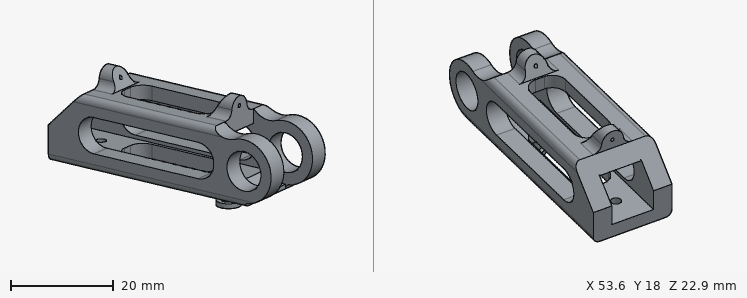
import cadquery as cq
import math

WIDTH = 18.0
HEIGHT = 15.0
MID_HEIGHT = HEIGHT / 2
EDGE_RADIUS = 1.5
BORE_WIDTH = 9.55
BORE_HEIGHT = 9.0
NOSE_CHAMFER = HEIGHT / 2
TOP_END_X = 39.45

LENGTH = 53.55
LUG_RADIUS = 6.55
LUG_X = LENGTH - LUG_RADIUS
LUG_HOLE_DIAMETER = 8.15
NECK_RADIUS = 5.0
HEEL_RADIUS = 1.0

SIDE_SLOT_LENGTH = 32.5
SIDE_SLOT_HEIGHT = 7.5
WINDOW_X = 23.5
TOP_WINDOW_LENGTH = 21.95
TOP_WINDOW_WIDTH = 8.0
TOP_WINDOW_RADIUS = 3.0

FLOOR_HOLE_DIAMETER = 2.1
FLOOR_HOLE_X = 6.2

SIGHT_HEIGHT = 4.0
SIGHT_HEAD_RADIUS = 5.0 / 2
SIGHT_FOOT_RADIUS = 2.0
SIGHT_TOP_LENGTH = 2.25
SIGHT_BASE_LENGTH = 4.55
SIGHT_HOLE_DIAMETER = 0.75
SIGHT_HOLE_Z = HEIGHT + SIGHT_FOOT_RADIUS

PIN_HEIGHT = 3.95
PIN_SHAFT_RADIUS = 3.0 / 2
PIN_HEAD_RADIUS = 5.0 / 2
PIN_HEAD_THICKNESS = 1.0
PIN_FILLET = 1.0
PIN_X = 36.85


def cylinder_along_y(x, z, radius, width):
    return cq.Workplane("XZ").center(x, z).circle(radius).extrude(width / 2, both=True)


def neck_centre():
    """Centre of the concave arc through the top end corner, tangent to the lug round."""
    dx = TOP_END_X - LUG_X
    dz = HEIGHT - MID_HEIGHT
    span = math.hypot(dx, dz)
    reach = LUG_RADIUS + NECK_RADIUS
    angle_at_lug = math.acos((reach**2 + span**2 - NECK_RADIUS**2) / (2 * reach * span))
    angle = math.atan2(dz, dx) - angle_at_lug
    return LUG_X + reach * math.cos(angle), MID_HEIGHT + reach * math.sin(angle)


def make_body():
    neck_x, neck_z = neck_centre()
    blend = LUG_RADIUS / (LUG_RADIUS + NECK_RADIUS)
    tangent_x = LUG_X + blend * (neck_x - LUG_X)
    tangent_z = MID_HEIGHT + blend * (neck_z - MID_HEIGHT)

    heel_reach = LUG_RADIUS + HEEL_RADIUS
    heel_x = LUG_X + HEEL_RADIUS
    heel_z = MID_HEIGHT - math.sqrt(heel_reach**2 - HEEL_RADIUS**2)
    heel_blend = LUG_RADIUS / heel_reach
    heel_end_x = LUG_X + heel_blend * HEEL_RADIUS
    heel_end_z = MID_HEIGHT + heel_blend * (heel_z - MID_HEIGHT)
    heel_mid = (heel_x - HEEL_RADIUS * math.sqrt(0.5), heel_z + HEEL_RADIUS * math.sqrt(0.5))

    neck_low = (neck_x, neck_z - NECK_RADIUS)
    profile = (
        cq.Workplane("XZ")
        .lineTo(LUG_X, 0)
        .lineTo(LUG_X, heel_z)
        .threePointArc(heel_mid, (heel_end_x, heel_end_z))
        .threePointArc((LENGTH, MID_HEIGHT), (tangent_x, tangent_z))
        .threePointArc(neck_low, (TOP_END_X, HEIGHT))
        .lineTo(NOSE_CHAMFER, HEIGHT)
        .lineTo(0, HEIGHT - NOSE_CHAMFER)
        .close()
        .extrude(WIDTH / 2, both=True)
    )
    rounded_bar = (
        cq.Workplane("XY")
        .box(LENGTH, WIDTH, HEIGHT, centered=(False, True, False))
        .edges("|X")
        .fillet(EDGE_RADIUS)
    )
    square_lugs = (
        cq.Workplane("XY")
        .box(LENGTH - neck_x, WIDTH, HEIGHT - MID_HEIGHT, centered=(False, True, False))
        .translate((neck_x, 0, MID_HEIGHT))
    )
    return profile.intersect(rounded_bar.union(square_lugs))


def cut_openings(body):
    bore = cq.Workplane("XY").box(LENGTH, BORE_WIDTH, BORE_HEIGHT, centered=(False, True, True))
    bore = bore.translate((0, 0, MID_HEIGHT))
    swing_clearance = cylinder_along_y(LUG_X, MID_HEIGHT, LUG_RADIUS, BORE_WIDTH)
    neck_gap = (
        cq.Workplane("XY")
        .box(LENGTH - TOP_END_X, BORE_WIDTH, HEIGHT - MID_HEIGHT, centered=(False, True, False))
        .translate((TOP_END_X, 0, MID_HEIGHT))
    )
    heel_gap = (
        cq.Workplane("XY")
        .box(LUG_RADIUS, BORE_WIDTH, MID_HEIGHT, centered=(False, True, False))
        .translate((LUG_X, 0, 0))
    )
    lug_holes = cylinder_along_y(LUG_X, MID_HEIGHT, LUG_HOLE_DIAMETER / 2, WIDTH)
    side_slots = (
        cq.Workplane("XZ")
        .center(WINDOW_X, MID_HEIGHT)
        .slot2D(SIDE_SLOT_LENGTH, SIDE_SLOT_HEIGHT)
        .extrude(WIDTH / 2, both=True)
    )
    top_window = (
        cq.Workplane("XY")
        .box(TOP_WINDOW_LENGTH, TOP_WINDOW_WIDTH, HEIGHT, centered=(True, True, False))
        .edges("|Z")
        .fillet(TOP_WINDOW_RADIUS)
        .translate((WINDOW_X, 0, 0))
    )
    floor_hole = (
        cq.Workplane("XY")
        .center(FLOOR_HOLE_X, 0)
        .circle(FLOOR_HOLE_DIAMETER / 2)
        .extrude(MID_HEIGHT)
    )
    end_gaps = (swing_clearance, neck_gap, heel_gap)
    wall_openings = (lug_holes, side_slots, top_window, floor_hole)
    for opening in (bore, *end_gaps, *wall_openings):
        body = body.cut(opening)
    return body


def make_sight(outer_x, inward):
    """Flared sight with an upright face at outer_x, sloping down along X in the inward direction."""
    head_z = HEIGHT + SIGHT_HEIGHT - SIGHT_HEAD_RADIUS
    foot_z = HEIGHT + SIGHT_FOOT_RADIUS
    reach = SIGHT_HEAD_RADIUS + SIGHT_FOOT_RADIUS
    foot_y = math.sqrt(reach**2 - (foot_z - head_z) ** 2)
    blend = SIGHT_HEAD_RADIUS / reach
    tangent_y = blend * foot_y
    tangent_z = head_z + blend * (foot_z - head_z)
    foot_mid_y = foot_y - SIGHT_FOOT_RADIUS * math.sqrt(0.5)
    foot_mid_z = foot_z - SIGHT_FOOT_RADIUS * math.sqrt(0.5)
    flare = (
        cq.Workplane("YZ", origin=(outer_x, 0, 0))
        .moveTo(-foot_y, HEIGHT)
        .lineTo(foot_y, HEIGHT)
        .threePointArc((foot_mid_y, foot_mid_z), (tangent_y, tangent_z))
        .threePointArc((0, HEIGHT + SIGHT_HEIGHT), (-tangent_y, tangent_z))
        .threePointArc((-foot_mid_y, foot_mid_z), (-foot_y, HEIGHT))
        .close()
        .extrude(inward * SIGHT_BASE_LENGTH)
    )
    hole = (
        cq.Workplane("YZ", origin=(outer_x, 0, SIGHT_HOLE_Z))
        .circle(SIGHT_HOLE_DIAMETER / 2)
        .extrude(inward * SIGHT_BASE_LENGTH)
    )
    wedge = (
        cq.Workplane("XZ")
        .moveTo(outer_x, HEIGHT)
        .lineTo(outer_x + inward * SIGHT_BASE_LENGTH, HEIGHT)
        .lineTo(outer_x + inward * SIGHT_TOP_LENGTH, HEIGHT + SIGHT_HEIGHT)
        .lineTo(outer_x, HEIGHT + SIGHT_HEIGHT)
        .close()
        .extrude(WIDTH / 2, both=True)
    )
    return flare.intersect(wedge).cut(hole)


def make_pin():
    fillet_centre_r = PIN_SHAFT_RADIUS + PIN_FILLET
    fillet_mid_r = fillet_centre_r - PIN_FILLET * math.sqrt(0.5)
    fillet_mid_z = -PIN_FILLET + PIN_FILLET * math.sqrt(0.5)
    return (
        cq.Workplane("XZ")
        .lineTo(fillet_centre_r, 0)
        .threePointArc((fillet_mid_r, fillet_mid_z), (PIN_SHAFT_RADIUS, -PIN_FILLET))
        .lineTo(PIN_SHAFT_RADIUS, PIN_HEAD_THICKNESS - PIN_HEIGHT)
        .lineTo(PIN_HEAD_RADIUS, PIN_HEAD_THICKNESS - PIN_HEIGHT)
        .lineTo(PIN_HEAD_RADIUS, -PIN_HEIGHT)
        .lineTo(0, -PIN_HEIGHT)
        .close()
        .revolve(360, (0, 0, 0), (0, 1, 0))
        .translate((PIN_X, 0, 0))
    )


result = cut_openings(make_body())
result = result.union(make_sight(NOSE_CHAMFER, 1))
result = result.union(make_sight(TOP_END_X, -1))
result = result.union(make_pin())